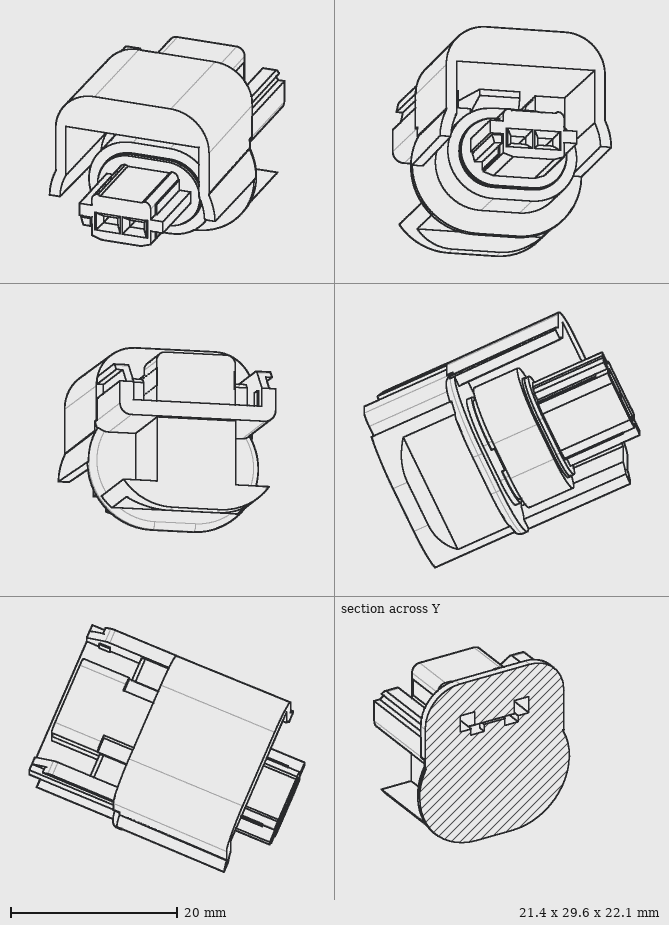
import cadquery as cq
import math


TIP_Y = 0.0
BUMP_Y = 1.57
SHROUD_Y = 3.73
RETAINER_Y = 9.25
RETAINER_STEP_Y = 9.75
SEAL_Y = 10.03
SEAL_END_Y = 15.85
COLLAR_TAB_Y = 16.1
COLLAR_Y = 16.52
FLANGE_Y = 17.2
FLANGE_REAR_Y = 18.6
DECK_Y = 21.93
NOTCH_Y = 22.7
BOX_REAR_Y = 28.7
BODY_REAR_Y = 28.92
REAR_Y = 29.6

AXIS_Z = 8.0
FLANGE_CX = 2.55
FLANGE_R = AXIS_Z
FLANGE_ROUND = 0.8
SEAL_AXIS_Z = 8.15
SEAL_CX = 2.4
SEAL_R = 5.62
CORE_R = 4.23
RETAINER_R = 4.17
COLLAR_R = 4.68
COLLAR_TAB_W = 2.95
COLLAR_TAB_H = 0.2

SHROUD_TOP = 22.1
SHROUD_HALF_W = 9.9
SHROUD_CORNER = 4.97
SHROUD_DRAFT = 0.45
SKIRT_FLARE = 0.133
SKIRT_R = FLANGE_R + SKIRT_FLARE
SKIRT_BOTTOM = 8.17
SKIRT_BOTTOM_REAR = 7.93
SIDE_BOTTOM = 11.6
CEILING_Z = 17.58
OPENING_HALF_W = 8.58
OPENING_REAR_HALF_W = 8.45
OPENING_FLARE_R = 6.78

RAIL_HALF_W = 9.68
RAIL_INNER_X = 7.95
RAIL_TOP = 18.17
RAIL_BOTTOM = 11.48
RAIL_ROUND = 1.4
RAIL_END_TOP = 15.55
SLOPE_ROUND = 0.83
PICK_MARGIN = 0.03
GROOVE_X = 8.88
GROOVE_TOP = 17.3
RIB_W = 0.15
RIB_Y0 = 26.5
RIB_Y1 = 27.95
DECK_Z = 17.45
DECK_BEVEL = 0.5
FLOOR_Z = 13.32

BODY_HALF_W = 4.88
BOX_TOP = 19.55
BOX_ROUND = 1.07
NOTCH_Z = 17.8
NOTCH_INNER_X = 3.0
PLATE_TOP = 3.65
PLATE_R = 7.5
PLATE_CX = 2.95
STEP_Z = 2.25
STEP_END_Y = 25.28
FOOT_Y = 27.0

WINDOW_HALF_W = 4.8
WINDOW_BOTTOM = 15.45
SLOT_HALF_W = 3.3
SLOT_BOTTOM = 14.62
TAB_HALF_W = 1.48
TAB_TOP = 15.57
RAMP_FRONT_Y = 15.85
RAMP_REAR_Y = 28.6
RAMP_HALF_W = 2.5
RAMP_BOTTOM = 16.8
RAMP_ANGLE = 30

NOSE_HALF_W = 3.8
NOSE_TOP = 11.1
NOSE_BOTTOM = 5.15
NOSE_ROUND = 0.8
NOSE_BEVEL_W = 1.25
NOSE_BEVEL_H = 0.4
RELIEF_HALF_W = 2.7
RELIEF_DEPTH = 0.18
RELIEF_SIDE = 0.3
PAD_HALF_W = 3.97
PAD_BOTTOM = 5.8
PAD_TOP = 10.2
KEY_X = 5.4
LEFT_KEY_Z = (7.93, 9.53)
RIGHT_KEY_Z = (7.35, 8.85)
SMALL_KEY_X = 5.18
SMALL_KEY_Z = (6.75, 7.75)
SMALL_KEY_BEVEL = 0.3

TERMINAL_X = 1.7
FUNNEL_W = 3.15
FUNNEL_BOTTOM = 6.35
FUNNEL_TOP = 8.65
FUNNEL_DEPTH = 0.9
LIP_W = 0.12
LIP_DEPTH = 0.1
BORE_W = 1.85
BORE_BOTTOM = 7.05
BORE_TOP = 7.93
BORE_DEPTH = 4.45


def section(y):
    """Sketch plane across the part at station y, with local axes X and Z."""
    return cq.Workplane("XZ", origin=(0, y, 0))


def block(x0, x1, y0, y1, z0, z1):
    return cq.Workplane("XY").box(x1 - x0, y1 - y0, z1 - z0, centered=False).translate((x0, y0, z0))


def oblong(centre_x, centre_z, radius, y0, y1, draft=0):
    sketch = section(y0).center(0, centre_z).slot2D(2 * (centre_x + radius), 2 * radius)
    return sketch.extrude(y0 - y1, taper=draft)


def prism(points, y0, y1):
    return section(y0).polyline(points).close().extrude(y0 - y1)


def side_prism(points_yz, half_width):
    """Prism across the full width from an outline in Y and Z."""
    return cq.Workplane("YZ").polyline(points_yz).close().extrude(half_width, both=True)


def roof_outline(y):
    return (
        section(y)
        .moveTo(-SHROUD_HALF_W, SIDE_BOTTOM)
        .lineTo(-SHROUD_HALF_W, SHROUD_TOP - SHROUD_CORNER)
        .radiusArc((-SHROUD_HALF_W + SHROUD_CORNER, SHROUD_TOP), SHROUD_CORNER)
        .lineTo(SHROUD_HALF_W - SHROUD_CORNER, SHROUD_TOP)
        .radiusArc((SHROUD_HALF_W, SHROUD_TOP - SHROUD_CORNER), SHROUD_CORNER)
        .lineTo(SHROUD_HALF_W, SIDE_BOTTOM)
        .close()
    )


def make_shroud():
    flare_end_y = FLANGE_REAR_Y - FLANGE_ROUND
    roof = roof_outline(SHROUD_Y).extrude(SHROUD_Y - FLANGE_REAR_Y, taper=SHROUD_DRAFT)
    roof = roof.cut(block(-SHROUD_HALF_W, SHROUD_HALF_W, flare_end_y, REAR_Y, 0, RAIL_BOTTOM + RAIL_ROUND))
    skirt = oblong(FLANGE_CX, AXIS_Z, SKIRT_R, SHROUD_Y, flare_end_y, SHROUD_DRAFT)
    opening = (
        section(SHROUD_Y)
        .rect(2 * OPENING_HALF_W, 2 * CEILING_Z)
        .workplane(offset=SHROUD_Y - FLANGE_Y)
        .rect(2 * OPENING_REAR_HALF_W, 2 * CEILING_Z)
        .loft(ruled=True)
        .union(oblong(FLANGE_CX, AXIS_Z, OPENING_FLARE_R, SHROUD_Y, FLANGE_Y, SHROUD_DRAFT))
    )
    below = side_prism(
        [
            (SHROUD_Y, SKIRT_BOTTOM),
            (FLANGE_Y, SKIRT_BOTTOM_REAR),
            (flare_end_y, SKIRT_BOTTOM_REAR),
            (flare_end_y, -AXIS_Z),
            (SHROUD_Y, -AXIS_Z),
        ],
        SHROUD_HALF_W + FLANGE_R,
    )
    return roof.union(skirt).cut(opening).cut(below)


def make_flange():
    flange = oblong(FLANGE_CX, AXIS_Z, FLANGE_R, FLANGE_Y, FLANGE_REAR_Y)
    return flange.faces(">Y").edges().fillet(FLANGE_ROUND)


def make_rails():
    rails = block(-RAIL_HALF_W, RAIL_HALF_W, FLANGE_Y, REAR_Y, RAIL_BOTTOM, RAIL_TOP)
    rails = rails.edges("|Y and <Z").fillet(RAIL_ROUND)

    envelope = roof_outline(FLANGE_Y).extrude(FLANGE_Y - REAR_Y)
    envelope = envelope.union(block(-RAIL_HALF_W, RAIL_HALF_W, FLANGE_Y, REAR_Y, 0, SIDE_BOTTOM))
    roof_start = RAIL_BOTTOM + RAIL_ROUND
    wall = block(-RAIL_HALF_W, RAIL_HALF_W, FLANGE_Y, FLANGE_REAR_Y, roof_start, RAIL_TOP)
    rails = rails.intersect(envelope).cut(wall)

    drop = RAIL_TOP - RAIL_END_TOP
    slope = side_prism(
        [(REAR_Y - drop, RAIL_TOP), (REAR_Y, RAIL_END_TOP), (REAR_Y, RAIL_TOP)], RAIL_HALF_W)
    rails = rails.cut(slope)
    slope_top = cq.selectors.BoxSelector(
        (-RAIL_HALF_W, REAR_Y - drop - PICK_MARGIN, RAIL_TOP - PICK_MARGIN),
        (RAIL_HALF_W, REAR_Y - drop + PICK_MARGIN, RAIL_TOP + PICK_MARGIN))
    rails = rails.edges(slope_top).fillet(SLOPE_ROUND)

    channel = side_prism(
        [
            (FLANGE_REAR_Y, DECK_Z),
            (DECK_Y, DECK_Z),
            (DECK_Y + DECK_BEVEL, DECK_Z - DECK_BEVEL),
            (DECK_Y + DECK_BEVEL, FLOOR_Z),
            (REAR_Y, FLOOR_Z),
            (REAR_Y, RAIL_TOP),
            (FLANGE_REAR_Y, RAIL_TOP),
        ],
        RAIL_INNER_X,
    )
    rails = rails.cut(channel)

    for side in (-1, 1):
        groove_x = sorted((side * GROOVE_X, side * SHROUD_HALF_W))
        rails = rails.cut(block(*groove_x, FLANGE_REAR_Y, REAR_Y, RAIL_END_TOP, GROOVE_TOP))
        rib_x = sorted((side * (RAIL_INNER_X - RIB_W), side * RAIL_INNER_X))
        rails = rails.union(block(*rib_x, RIB_Y0, RIB_Y1, FLOOR_Z, RAIL_END_TOP))
    return rails


def make_rear_body():
    body = block(-BODY_HALF_W, BODY_HALF_W, FLANGE_Y, BODY_REAR_Y, PLATE_TOP, RAIL_BOTTOM)
    box = block(-BODY_HALF_W, BODY_HALF_W, FLANGE_Y, BOX_REAR_Y, RAIL_BOTTOM, BOX_TOP)
    box = box.edges("|Y and >Z").fillet(BOX_ROUND)
    for side in (-1, 1):
        notch_x = sorted((side * NOTCH_INNER_X, side * BODY_HALF_W))
        box = box.cut(block(*notch_x, FLANGE_REAR_Y, NOTCH_Y, NOTCH_Z, BOX_TOP))

    plate = oblong(PLATE_CX, AXIS_Z, PLATE_R, FLANGE_Y, BODY_REAR_Y)
    plate = plate.intersect(block(-SHROUD_HALF_W, SHROUD_HALF_W, 0, REAR_Y, 0, PLATE_TOP))
    relief = side_prism(
        [(FLANGE_Y, 0), (FLANGE_Y, STEP_Z), (STEP_END_Y, STEP_Z), (FOOT_Y, AXIS_Z - PLATE_R), (FOOT_Y, 0)],
        SHROUD_HALF_W,
    )
    return body.union(box).union(plate.cut(relief))


def make_window_cavity():
    """Stepped window through the wall and into the rear box."""
    window = block(-WINDOW_HALF_W, WINDOW_HALF_W, FLANGE_Y, RAMP_REAR_Y, WINDOW_BOTTOM, CEILING_Z)
    slot = block(-SLOT_HALF_W, SLOT_HALF_W, FLANGE_Y, RAMP_REAR_Y, SLOT_BOTTOM, WINDOW_BOTTOM)
    tab = block(-TAB_HALF_W, TAB_HALF_W, FLANGE_Y, FLANGE_REAR_Y, SLOT_BOTTOM, TAB_TOP)
    return window.union(slot).cut(tab)


def make_ramp():
    """Block under the shroud roof that fills the window cavity as it widens to the rear."""
    length = RAMP_REAR_Y - RAMP_FRONT_Y
    drop = length * math.tan(math.radians(RAMP_ANGLE))
    return (
        section(RAMP_FRONT_Y)
        .center(0, (RAMP_BOTTOM + CEILING_Z) / 2)
        .rect(2 * RAMP_HALF_W, CEILING_Z - RAMP_BOTTOM)
        .workplane(offset=-length)
        .center(0, -drop / 2)
        .rect(2 * WINDOW_HALF_W, CEILING_Z - RAMP_BOTTOM + drop)
        .loft(ruled=True)
    )


def make_seal_stack():
    core = oblong(SEAL_CX, SEAL_AXIS_Z, CORE_R, RETAINER_STEP_Y, FLANGE_Y)
    retainer = oblong(SEAL_CX, SEAL_AXIS_Z, RETAINER_R, RETAINER_Y, RETAINER_STEP_Y)
    seal = oblong(SEAL_CX, SEAL_AXIS_Z, SEAL_R, SEAL_Y, SEAL_END_Y)
    collar = oblong(SEAL_CX, SEAL_AXIS_Z, COLLAR_R, COLLAR_Y, FLANGE_Y)
    tab_z = SEAL_AXIS_Z - COLLAR_R
    tab = block(-COLLAR_TAB_W / 2, COLLAR_TAB_W / 2, COLLAR_TAB_Y, FLANGE_Y, tab_z, tab_z + COLLAR_TAB_H)
    return core.union(retainer).union(seal).union(collar).union(tab)


def make_nose():
    nose = (
        section(TIP_Y)
        .moveTo(-NOSE_HALF_W, NOSE_BOTTOM + NOSE_BEVEL_H)
        .lineTo(-NOSE_HALF_W, NOSE_TOP - NOSE_ROUND)
        .radiusArc((-NOSE_HALF_W + NOSE_ROUND, NOSE_TOP), NOSE_ROUND)
        .lineTo(NOSE_HALF_W - NOSE_ROUND, NOSE_TOP)
        .radiusArc((NOSE_HALF_W, NOSE_TOP - NOSE_ROUND), NOSE_ROUND)
        .lineTo(NOSE_HALF_W, NOSE_BOTTOM + NOSE_BEVEL_H)
        .lineTo(NOSE_HALF_W - NOSE_BEVEL_W, NOSE_BOTTOM)
        .lineTo(-NOSE_HALF_W + NOSE_BEVEL_W, NOSE_BOTTOM)
        .close()
        .extrude(TIP_Y - SEAL_Y)
    )
    relief_floor = NOSE_TOP - RELIEF_DEPTH
    relief_top = RELIEF_HALF_W + RELIEF_SIDE
    relief = prism(
        [
            (-relief_top, NOSE_TOP),
            (-RELIEF_HALF_W, relief_floor),
            (RELIEF_HALF_W, relief_floor),
            (relief_top, NOSE_TOP),
        ],
        TIP_Y, RETAINER_Y,
    )
    pads = block(-PAD_HALF_W, PAD_HALF_W, BUMP_Y, SEAL_Y, PAD_BOTTOM, PAD_TOP)
    left_key = block(-KEY_X, 0, TIP_Y, SEAL_Y, *LEFT_KEY_Z)
    right_key = block(0, KEY_X, TIP_Y, SEAL_Y, *RIGHT_KEY_Z)
    key_bottom, key_top = SMALL_KEY_Z
    small_key = prism(
        [
            (-PAD_HALF_W, key_bottom),
            (-SMALL_KEY_X + SMALL_KEY_BEVEL, key_bottom),
            (-SMALL_KEY_X, key_top),
            (-PAD_HALF_W, key_top),
        ],
        TIP_Y, SEAL_Y,
    )
    return nose.cut(relief).union(pads).union(left_key).union(right_key).union(small_key)


def make_terminal_opening(side):
    """Funnel and blind bore on one side of the nose; side is -1 or 1."""
    centre_x = side * TERMINAL_X
    funnel_z = (FUNNEL_TOP + FUNNEL_BOTTOM) / 2
    bore_z = (BORE_TOP + BORE_BOTTOM) / 2
    funnel = (
        section(TIP_Y)
        .center(centre_x, funnel_z)
        .rect(FUNNEL_W, FUNNEL_TOP - FUNNEL_BOTTOM)
        .workplane(offset=-FUNNEL_DEPTH)
        .center(0, bore_z - funnel_z)
        .rect(BORE_W, BORE_TOP - BORE_BOTTOM)
        .loft(ruled=True)
    )
    bore = block(centre_x - BORE_W / 2, centre_x + BORE_W / 2, TIP_Y, BORE_DEPTH, BORE_BOTTOM, BORE_TOP)
    edge_x = centre_x + side * FUNNEL_W / 2
    lip_x = sorted((edge_x, edge_x + side * LIP_W))
    lip = block(*lip_x, TIP_Y, LIP_DEPTH, FUNNEL_BOTTOM, FUNNEL_TOP)
    return funnel.union(bore).union(lip)


connector = make_shroud().union(make_flange()).union(make_rails()).union(make_rear_body())
connector = connector.cut(make_window_cavity()).union(make_ramp())
connector = connector.union(make_seal_stack()).union(make_nose())
for side in (-1, 1):
    connector = connector.cut(make_terminal_opening(side))
result = connector.solids()